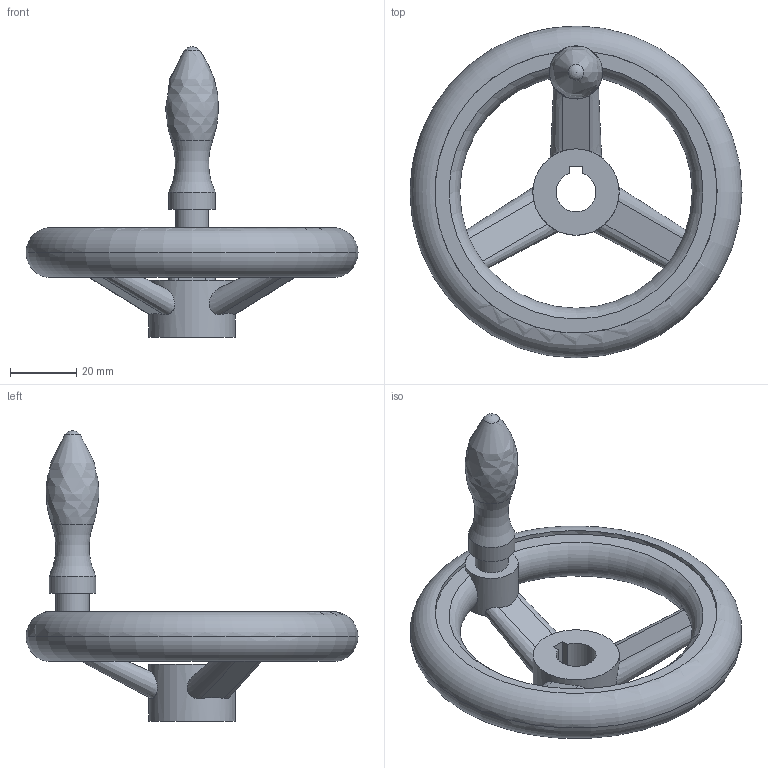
import cadquery as cq
import math


rim_outer_diameter = 100.0
rim_section_radius = 7.5
rim_bottom_z = 18.0
rim_center_radius = rim_outer_diameter / 2 - rim_section_radius
rim_center_z = rim_bottom_z + rim_section_radius
rim_top_z = rim_center_z + rim_section_radius
step_width = 4.25
step_floor_z = rim_center_z + math.sqrt(rim_section_radius**2 - step_width**2)

hub_diameter = 26.0
hub_height = 17.2
bore_diameter = 12.0
keyway_width = 4.0
keyway_top_y = 7.8

spoke_count = 3
spoke_start_z = 5.0
spoke_flat_width = 8.0
spoke_hub_edge_radius = 4.2
spoke_rim_edge_radius = 2.3

handle_y = 36.0
boss_diameter = 16.0
boss_height = 14.0
boss_bottom_z = rim_top_z - boss_height

handle_top_z = 87.49
stem_radius = 5.0
collar_radius = 7.0
collar_bottom_z = 38.5
neck_radius = 5.0
neck_z = 52.4
neck_arc_radius = 20.0
grip_radius = 8.0
grip_arc_radius = 28.7


def arc_point(center, radius, angle):
    """Point on a circle in the (radius, height) plane of a turned profile."""
    return (center[0] + radius * math.cos(angle), center[1] + radius * math.sin(angle))


def make_rim():
    torus = cq.Workplane("XZ").center(rim_center_radius, rim_center_z).circle(rim_section_radius)
    torus = torus.revolve(360, (-rim_center_radius, 0), (-rim_center_radius, 1))
    step = cq.Workplane("XY").workplane(offset=step_floor_z).circle(rim_center_radius)
    return torus.cut(step.extrude(rim_section_radius))


def make_spoke():
    """One spoke, rising from the hub axis along +Y to the center of the rim section."""
    rise = rim_center_z - spoke_start_z
    length = math.hypot(rim_center_radius, rise)
    start_plane = cq.Plane(
        origin=(0, 0, spoke_start_z),
        xDir=(1, 0, 0),
        normal=(0, rim_center_radius, rise),
    )
    hub_end_length = spoke_flat_width + 2 * spoke_hub_edge_radius
    rim_end_length = spoke_flat_width + 2 * spoke_rim_edge_radius
    return (
        cq.Workplane(start_plane)
        .slot2D(hub_end_length, 2 * spoke_hub_edge_radius)
        .workplane(offset=length)
        .slot2D(rim_end_length, 2 * spoke_rim_edge_radius)
        .loft(ruled=True)
    )


def make_hub():
    return cq.Workplane("XY").circle(hub_diameter / 2).extrude(hub_height)


def make_bore():
    bore = cq.Workplane("XY").circle(bore_diameter / 2).extrude(hub_height)
    keyway = cq.Workplane("XY").center(0, keyway_top_y / 2).rect(keyway_width, keyway_top_y)
    return bore.union(keyway.extrude(hub_height))


def make_boss():
    boss = cq.Workplane("XY", origin=(0, handle_y, boss_bottom_z)).circle(boss_diameter / 2)
    return boss.extrude(boss_height)


def make_handle():
    """Turned handle: stem and collar, then a hollow neck, swelling grip and round nose in tangent arcs."""
    neck_center = (neck_radius + neck_arc_radius, neck_z)
    grip_center_radius = grip_radius - grip_arc_radius
    center_gap = neck_center[0] - grip_center_radius
    center_rise = math.sqrt((neck_arc_radius + grip_arc_radius) ** 2 - center_gap**2)
    grip_center = (grip_center_radius, neck_z + center_rise)
    grip_start_angle = -math.atan2(center_rise, center_gap)

    grip_to_top = handle_top_z - grip_center[1]
    nose_radius = (grip_arc_radius**2 - grip_center_radius**2 - grip_to_top**2) / (
        2 * (grip_arc_radius - grip_to_top)
    )
    nose_center = (0, handle_top_z - nose_radius)
    nose_angle = math.atan2(nose_center[1] - grip_center[1], -grip_center_radius)
    nose_middle_angle = (nose_angle + math.pi / 2) / 2

    collar_drop = math.sqrt(neck_arc_radius**2 - (neck_center[0] - collar_radius) ** 2)
    profile = (
        cq.Workplane("XZ", origin=(0, handle_y, 0))
        .moveTo(0, boss_bottom_z)
        .lineTo(stem_radius, boss_bottom_z)
        .lineTo(stem_radius, collar_bottom_z)
        .lineTo(collar_radius, collar_bottom_z)
        .lineTo(collar_radius, neck_z - collar_drop)
        .threePointArc((neck_radius, neck_z), arc_point(grip_center, grip_arc_radius, grip_start_angle))
        .threePointArc(
            (grip_radius, grip_center[1]),
            arc_point(grip_center, grip_arc_radius, nose_angle),
        )
        .threePointArc(
            arc_point(nose_center, nose_radius, nose_middle_angle),
            (0, handle_top_z),
        )
        .close()
    )
    return profile.revolve(360, (0, 0), (0, 1))


def make_handwheel():
    wheel = make_rim().union(make_hub())
    spoke = make_spoke()
    for index in range(spoke_count):
        angle = index * 360 / spoke_count
        wheel = wheel.union(spoke.rotate((0, 0, 0), (0, 0, 1), angle))
    wheel = wheel.union(make_boss()).cut(make_bore())
    return wheel.union(make_handle())


result = make_handwheel()